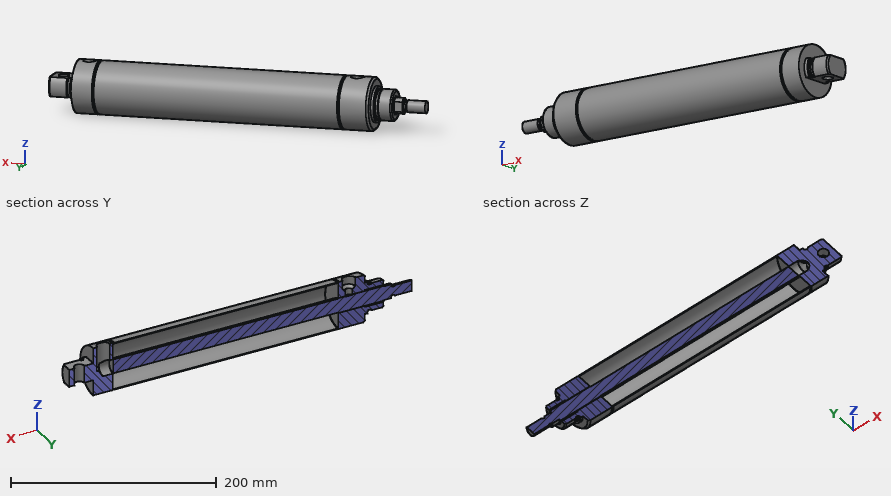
import cadquery as cq

LENGTH = 379.5
NOSE_START = 31.0
HEAD_START = 51.5
HEAD_JOINT = 82.0
CAP_JOINT = 331.0
CAP_END = 353.0

BODY_RADIUS = 26.5
TUBE_BORE_RADIUS = 25.0
HEAD_CHAMFER_LENGTH = 2.3
HEAD_CHAMFER_DEPTH = 2.0
JOINT_CHAMFER_LENGTH = 1.0
JOINT_CHAMFER_DEPTH = 0.57

BOSS_RADIUS = 15.5
BOSS_CHAMFER = 1.5
RELIEF_RADIUS = 14.5
RELIEF_LENGTH = 4.5
RELIEF_BEVEL = BOSS_RADIUS - RELIEF_RADIUS
FLANGE_RADIUS = 18.0
HEAD_FLANGE_LENGTH = 2.5
CAP_FLANGE_LENGTH = 3.8

ROD_RADIUS = 8.0
ROD_FLATS_START = 22.8
FLATS_WIDTH = 12.5
STUD_RADIUS = 6.0
STUD_LENGTH = 18.5
NECK_RADIUS = 5.0
NECK_BEVEL = STUD_RADIUS - NECK_RADIUS

BUSHING_RADIUS = 9.0

TONGUE_THICKNESS = 19.5
EYE_RADIUS = 5.5
EYE_X = 368.0

PORT_RADIUS = 7.0
HEAD_PORT_X = 70.0
CAP_PORT_X = 341.5
PORT_FLOOR_Z = 17.0
PORT_PASSAGE_RADIUS = 3.8
CAP_PASSAGE_RADIUS = 7.5
CAP_PASSAGE_END = 342.2
DRILL_TIP_LENGTH = 4.5


def revolve_about_x(points):
    """Solid of revolution about X from (x, radius) outline points."""
    return cq.Workplane("XY").polyline(points).close().revolve(360, (0, 0, 0), (1, 0, 0))


def x_cylinder(radius, start, end):
    return cq.Workplane("YZ", origin=(start, 0, 0)).circle(radius).extrude(end - start)


def z_cylinder(radius, x, bottom, top):
    return cq.Workplane("XY", origin=(x, 0, bottom)).circle(radius).extrude(top - bottom)


def make_boss(tip, seat, flange_length):
    """Boss from its free end at x = tip to the face it stands on at x = seat."""
    inward = 1 if seat > tip else -1
    flange = seat - inward * flange_length
    relief = flange - inward * RELIEF_LENGTH
    return revolve_about_x([
        (tip, 0),
        (tip, BOSS_RADIUS - BOSS_CHAMFER),
        (tip + inward * BOSS_CHAMFER, BOSS_RADIUS),
        (relief, BOSS_RADIUS),
        (relief + inward * RELIEF_BEVEL, RELIEF_RADIUS),
        (flange - inward * RELIEF_BEVEL, RELIEF_RADIUS),
        (flange, BOSS_RADIUS),
        (flange, FLANGE_RADIUS),
        (seat, FLANGE_RADIUS),
        (seat, 0),
    ])


def make_tube():
    end_radius = BODY_RADIUS - JOINT_CHAMFER_DEPTH
    return revolve_about_x([
        (HEAD_JOINT, TUBE_BORE_RADIUS),
        (HEAD_JOINT, end_radius),
        (HEAD_JOINT + JOINT_CHAMFER_LENGTH, BODY_RADIUS),
        (CAP_JOINT - JOINT_CHAMFER_LENGTH, BODY_RADIUS),
        (CAP_JOINT, end_radius),
        (CAP_JOINT, TUBE_BORE_RADIUS),
    ])


def make_head():
    head = revolve_about_x([
        (HEAD_START, 0),
        (HEAD_START, BODY_RADIUS - HEAD_CHAMFER_DEPTH),
        (HEAD_START + HEAD_CHAMFER_LENGTH, BODY_RADIUS),
        (HEAD_JOINT - JOINT_CHAMFER_LENGTH, BODY_RADIUS),
        (HEAD_JOINT, BODY_RADIUS - JOINT_CHAMFER_DEPTH),
        (HEAD_JOINT, 0),
    ]).union(make_boss(NOSE_START, HEAD_START, HEAD_FLANGE_LENGTH))
    rod_bore = x_cylinder(ROD_RADIUS, NOSE_START, HEAD_JOINT)
    bushing_seat = x_cylinder(BUSHING_RADIUS, NOSE_START, HEAD_START)
    port = z_cylinder(PORT_RADIUS, HEAD_PORT_X, PORT_FLOOR_Z, BODY_RADIUS)
    cone_depth = PORT_RADIUS - PORT_PASSAGE_RADIUS
    port_cone = cq.Workplane(cq.Solid.makeCone(
        PORT_PASSAGE_RADIUS, PORT_RADIUS, cone_depth, cq.Vector(HEAD_PORT_X, 0, PORT_FLOOR_Z - cone_depth)
    ))
    passage = z_cylinder(PORT_PASSAGE_RADIUS, HEAD_PORT_X, 0, PORT_FLOOR_Z)
    return head.cut(rod_bore).cut(bushing_seat).cut(port).cut(port_cone).cut(passage)


def make_bushing():
    bushing = x_cylinder(BUSHING_RADIUS, NOSE_START, HEAD_START)
    return bushing.cut(x_cylinder(ROD_RADIUS, NOSE_START, HEAD_START))


def make_cap():
    cap = revolve_about_x([
        (CAP_END, 0),
        (CAP_END, BODY_RADIUS),
        (CAP_JOINT + JOINT_CHAMFER_LENGTH, BODY_RADIUS),
        (CAP_JOINT, BODY_RADIUS - JOINT_CHAMFER_DEPTH),
        (CAP_JOINT, 0),
    ]).union(make_boss(LENGTH, CAP_END, CAP_FLANGE_LENGTH))
    boss_length = LENGTH - CAP_END
    for side in (-1, 1):
        slab_z = side * (TONGUE_THICKNESS + BODY_RADIUS) / 2
        slab = cq.Workplane("XY").box(boss_length, 2 * BODY_RADIUS, BODY_RADIUS)
        cap = cap.cut(slab.translate((CAP_END + boss_length / 2, 0, slab_z)))
    eye = z_cylinder(EYE_RADIUS, EYE_X, -TONGUE_THICKNESS, TONGUE_THICKNESS)
    passage = revolve_about_x([
        (CAP_JOINT, 0),
        (CAP_JOINT, CAP_PASSAGE_RADIUS),
        (CAP_PASSAGE_END, CAP_PASSAGE_RADIUS),
        (CAP_PASSAGE_END + DRILL_TIP_LENGTH, 0),
    ])
    port = z_cylinder(PORT_RADIUS, CAP_PORT_X, 0, BODY_RADIUS)
    return cap.cut(eye).cut(passage).cut(port)


def make_rod():
    rod = revolve_about_x([
        (0, 0),
        (0, STUD_RADIUS),
        (STUD_LENGTH, STUD_RADIUS),
        (STUD_LENGTH + NECK_BEVEL, NECK_RADIUS),
        (ROD_FLATS_START - NECK_BEVEL, NECK_RADIUS),
        (ROD_FLATS_START, STUD_RADIUS),
        (ROD_FLATS_START, ROD_RADIUS),
        (CAP_JOINT, ROD_RADIUS),
        (CAP_JOINT, 0),
    ])
    flats_length = NOSE_START - ROD_FLATS_START
    for side in (-1, 1):
        slab_y = side * (FLATS_WIDTH + ROD_RADIUS) / 2
        slab = cq.Workplane("XY").box(flats_length, ROD_RADIUS, 2 * ROD_RADIUS)
        rod = rod.cut(slab.translate((ROD_FLATS_START + flats_length / 2, slab_y, 0)))
    return rod


tube = make_tube()
head = make_head()
bushing = make_bushing()
cap = make_cap()
rod = make_rod()

result = cq.Compound.makeCompound([tube.val(), head.val(), bushing.val(), cap.val(), rod.val()])